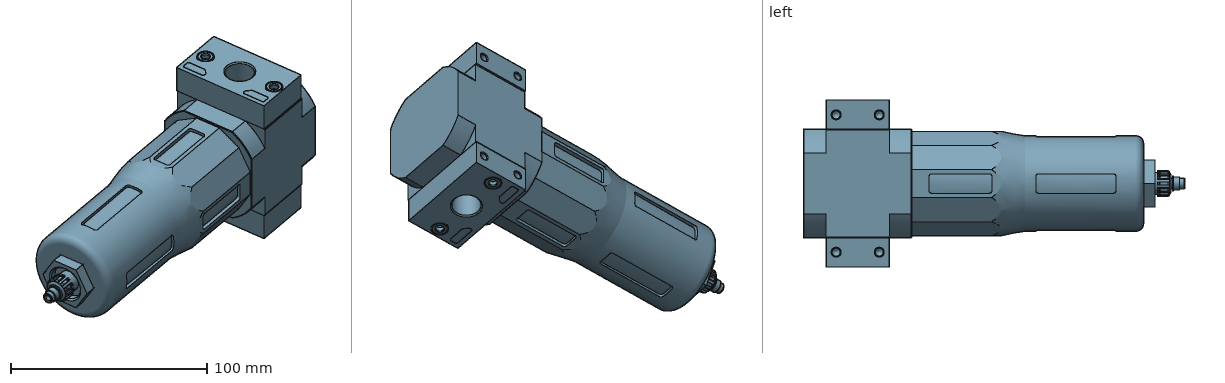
import cadquery as cq
import math


TOTAL_LENGTH = 194.2
TOTAL_HEIGHT = 85.0

HOUSING_WIDTH = 55.0
HOUSING_CORNER_DIAMETER = 63.1
HOUSING_LENGTH = 55.2
HOUSING_HEIGHT = 55.3
HOUSING_EDGE_CHAMFER = 0.4
HOUSING_MIDDLE = HOUSING_LENGTH / 2
PORT_DIAMETER = 15.0
PORT_RIM_DIAMETER = 16.3

PLATE_LENGTH = 32.2
PLATE_SHIFT = -0.5
PLATE_THICKNESS = (TOTAL_HEIGHT - HOUSING_HEIGHT) / 2
SIDE_HOLE_SPACING = 22.0
SIDE_HOLE_DIAMETER = 4.0
SIDE_HOLE_RIM_DIAMETER = 5.0
SIDE_HOLE_DEPTH = 4.9
SIDE_HOLE_HEIGHT = 35.0
LABEL_LENGTH = 13.0
LABEL_WIDTH = 4.7
LABEL_BEVEL = 2.5
LABEL_CORNER_RADIUS = 1.0
LABEL_RECESS = 0.2
LABEL_OFFSET = 18.8
LABEL_SETBACK = 11.3

SCREW_SPACING = 43.1
SCREW_HEAD_DIAMETER = 9.0
SCREW_HEAD_TOP_DIAMETER = 7.5
SCREW_HEAD_HEIGHT = 7.8
SCREW_SHANK_DIAMETER = 5.6
SCREW_LENGTH = 23.3
SOCKET_DIAMETER = 4.0
SOCKET_RIM_DIAMETER = 5.0
SOCKET_DEPTH = 3.0
DRILL_POINT_ANGLE = 118.0

GUARD_SIDES = 12
GUARD_ACROSS_FLATS = 53.2
GUARD_CONE_START = 95.7
GUARD_CONE_END = 112.8
GUARD_END = 173.2
GUARD_END_DIAMETER = 48.7
GUARD_END_FILLET = 4.0
WINDOW_WIDTH = 10.0
WINDOW_CORNER_RADIUS = 1.4
WINDOW_SPANS = [(63.9, 96.0), (118.3, 159.0)]
WINDOW_SIDES = 4

BOWL_TOP_DIAMETER = 50.1
BOWL_CONE_START = 97.1
BOWL_CONE_END = 112.6
BOWL_WAIST_DIAMETER = 46.2
BOWL_END_DIAMETER = 45.0
BOWL_END = 163.1
BOWL_FILLET = 4.9
HEX_ACROSS_FLATS = 24.0
HEX_END = 179.0
DRAIN_RECESS_DIAMETER = 18.0
DRAIN_RECESS_RIM_DIAMETER = 19.8
DRAIN_RECESS_DEPTH = 3.9

KNOB_CORE_DIAMETER = 11.3
KNOB_TOOTH_DIAMETER = 13.2
KNOB_START = 180.2
KNOB_GROOVE_DIAMETER = 12.0
KNOB_GROOVE_START = 181.0
KNOB_GROOVE_END = 181.5
KNOB_TAPER_START = 185.5
KNOB_SHOULDER = 186.5
TOOTH_END_DIAMETER = 12.0
KNOB_END = 187.2
KNOB_END_DIAMETER = 8.5
TOOTH_COUNT = 12
TOOTH_WIDTH = 1.5
STEM_DIAMETER = 6.8
STEM_END_DIAMETER = 5.6
COLLAR_DIAMETER = 7.5
COLLAR_START = 187.8
COLLAR_END = 188.4
STEM_STEP = 191.5
TIP_CHAMFER_START = 193.6
TIP_DIAMETER = 5.0
TIP_BORE_RIM_DIAMETER = 4.0
TIP_BORE_DIAMETER = 3.0
TIP_BORE_DEPTH = 3.9


def at_depth(depth):
    """Workplane facing -Y, at a depth behind which the part lies."""
    return cq.Workplane("XZ", origin=(0, -depth, 0))


def revolved(points):
    """Solid of revolution about the Y axis from (radius, depth) points."""
    outline = [(radius, -depth) for radius, depth in points]
    return cq.Workplane("XY").polyline(outline).close().revolve(360, (0, 0, 0), (0, 1, 0))


def drilled_hole(diameter, rim_diameter, depth):
    """Cutter along -Z from the origin: 45 degree rim, straight wall and conical bottom."""
    radius = diameter / 2
    rim_radius = rim_diameter / 2
    point_depth = radius / math.tan(math.radians(DRILL_POINT_ANGLE / 2))
    outline = [
        (0, 0),
        (rim_radius, 0),
        (radius, radius - rim_radius),
        (radius, -depth),
        (0, -depth - point_depth),
    ]
    return cq.Workplane("XZ").polyline(outline).close().revolve(360, (0, 0, 0), (0, 1, 0))


def make_screw(x, side):
    """Cap screw flush with the outer face of the plate on one side (+1 above, -1 below)."""
    rim = (SCREW_HEAD_DIAMETER - SCREW_HEAD_TOP_DIAMETER) / 2
    head = cq.Workplane("XY").circle(SCREW_HEAD_DIAMETER / 2).extrude(-SCREW_HEAD_HEIGHT)
    head = head.faces(">Z").chamfer(rim)
    shank = cq.Workplane("XY").circle(SCREW_SHANK_DIAMETER / 2).extrude(-SCREW_LENGTH)
    screw = head.union(shank)
    screw = screw.cut(drilled_hole(SOCKET_DIAMETER, SOCKET_RIM_DIAMETER, SOCKET_DEPTH))
    screw = screw.translate((x, -HOUSING_MIDDLE, TOTAL_HEIGHT / 2))
    return screw if side > 0 else screw.mirror("XY")


def screw_hole(x):
    """Stepped cutter for one screw of the upper plate."""
    top = cq.Workplane("XY", origin=(x, -HOUSING_MIDDLE, TOTAL_HEIGHT / 2))
    head_hole = top.circle(SCREW_HEAD_DIAMETER / 2).extrude(-SCREW_HEAD_HEIGHT)
    shank_hole = top.circle(SCREW_SHANK_DIAMETER / 2).extrude(-SCREW_LENGTH)
    return head_hole.union(shank_hole)


def make_housing():
    end_blocks = at_depth(0).rect(HOUSING_WIDTH, HOUSING_HEIGHT).extrude(HOUSING_LENGTH)
    end_blocks = end_blocks.intersect(
        at_depth(0).circle(HOUSING_CORNER_DIAMETER / 2).extrude(HOUSING_LENGTH)
    )
    end_blocks = end_blocks.faces("<Y").chamfer(HOUSING_EDGE_CHAMFER)
    middle_block = cq.Workplane("XY").box(HOUSING_WIDTH, PLATE_LENGTH, HOUSING_HEIGHT)
    middle_block = middle_block.edges("|Y").chamfer(HOUSING_EDGE_CHAMFER)
    housing = end_blocks.union(middle_block.translate((0, -HOUSING_MIDDLE, 0)))

    port = cq.Workplane("XY", origin=(0, -HOUSING_MIDDLE, -TOTAL_HEIGHT / 2))
    housing = housing.cut(port.circle(PORT_DIAMETER / 2).extrude(TOTAL_HEIGHT))
    for x in SCREW_PLACES:
        hole = screw_hole(x)
        housing = housing.cut(hole).cut(hole.mirror("XY"))
    return housing


def label_recess():
    """Cutter for the left label of a plate centred on x = 0, with one bevelled corner."""
    half_length = LABEL_LENGTH / 2
    half_width = LABEL_WIDTH / 2
    outline = [
        (-half_length, -half_width),
        (half_length, -half_width),
        (half_length, half_width - LABEL_BEVEL),
        (half_length - LABEL_BEVEL, half_width),
        (-half_length, half_width),
    ]
    recess = cq.Workplane("XY").polyline(outline).close().extrude(-LABEL_RECESS)
    recess = recess.edges("|Z").fillet(LABEL_CORNER_RADIUS)
    return recess.translate((-LABEL_OFFSET, -HOUSING_MIDDLE - LABEL_SETBACK, TOTAL_HEIGHT / 2))


def make_plate(side):
    """Port plate above (+1) or below (-1) the housing."""
    plate = cq.Workplane("XY").box(HOUSING_WIDTH, PLATE_LENGTH, PLATE_THICKNESS)
    plate_height = (TOTAL_HEIGHT - PLATE_THICKNESS) / 2
    plate = plate.translate((PLATE_SHIFT, -HOUSING_MIDDLE, plate_height))

    port = cq.Workplane("XY", origin=(0, -HOUSING_MIDDLE, 0))
    plate = plate.cut(port.circle(PORT_DIAMETER / 2).extrude(TOTAL_HEIGHT))
    port_edge = cq.selectors.BoxSelector(
        (-PORT_DIAMETER, -HOUSING_MIDDLE - PORT_DIAMETER, TOTAL_HEIGHT / 2 - LABEL_RECESS),
        (PORT_DIAMETER, -HOUSING_MIDDLE + PORT_DIAMETER, TOTAL_HEIGHT / 2 + LABEL_RECESS),
        boundingbox=True,
    )
    plate = plate.edges(port_edge).chamfer((PORT_RIM_DIAMETER - PORT_DIAMETER) / 2)

    for x in SCREW_PLACES:
        plate = plate.cut(screw_hole(x))

    side_hole = drilled_hole(SIDE_HOLE_DIAMETER, SIDE_HOLE_RIM_DIAMETER, SIDE_HOLE_DEPTH)
    side_hole = side_hole.rotate((0, 0, 0), (0, 1, 0), -90)
    side_face_x = PLATE_SHIFT - HOUSING_WIDTH / 2
    for offset in (-SIDE_HOLE_SPACING / 2, SIDE_HOLE_SPACING / 2):
        place = (side_face_x, offset - HOUSING_MIDDLE, SIDE_HOLE_HEIGHT)
        plate = plate.cut(side_hole.translate(place))

    label = label_recess()
    labels = label.union(label.mirror("YZ"))
    plate = plate.cut(labels.translate((PLATE_SHIFT, 0, 0)))
    return plate if side > 0 else plate.mirror("XY")


def make_bowl():
    """Bowl narrowing inside the guard and ending in a hexagon that carries the drain recess."""
    bowl = revolved([
        (0, HOUSING_LENGTH),
        (BOWL_TOP_DIAMETER / 2, HOUSING_LENGTH),
        (BOWL_TOP_DIAMETER / 2, BOWL_CONE_START),
        (BOWL_WAIST_DIAMETER / 2, BOWL_CONE_END),
        (BOWL_END_DIAMETER / 2, BOWL_END),
        (0, BOWL_END),
    ])
    bowl = bowl.faces("<Y").edges().fillet(BOWL_FILLET)
    hexagon = at_depth(BOWL_END - BOWL_FILLET)
    hexagon = hexagon.polygon(6, HEX_ACROSS_FLATS, circumscribed=True)
    hexagon = hexagon.extrude(HEX_END - BOWL_END + BOWL_FILLET)
    bowl = bowl.union(hexagon.rotate((0, 0, 0), (0, 1, 0), 30))

    recess_radius = DRAIN_RECESS_DIAMETER / 2
    rim_radius = DRAIN_RECESS_RIM_DIAMETER / 2
    return bowl.cut(revolved([
        (0, HEX_END),
        (rim_radius, HEX_END),
        (recess_radius, HEX_END - rim_radius + recess_radius),
        (recess_radius, HEX_END - DRAIN_RECESS_DEPTH),
        (0, HEX_END - DRAIN_RECESS_DEPTH),
    ]))


def make_guard(bowl):
    """Twelve-sided guard narrowing to a round end, with windows onto the bowl."""
    corner_radius = GUARD_ACROSS_FLATS / 2 / math.cos(math.pi / GUARD_SIDES)
    prism = at_depth(HOUSING_LENGTH).polygon(GUARD_SIDES, 2 * corner_radius)
    prism = prism.extrude(GUARD_END - HOUSING_LENGTH)
    prism = prism.rotate((0, 0, 0), (0, 1, 0), 180 / GUARD_SIDES)
    envelope = revolved([
        (0, HOUSING_LENGTH),
        (corner_radius, HOUSING_LENGTH),
        (corner_radius, GUARD_CONE_START),
        (GUARD_END_DIAMETER / 2, GUARD_CONE_END),
        (GUARD_END_DIAMETER / 2, GUARD_END),
        (0, GUARD_END),
    ])
    envelope = envelope.faces("<Y").edges().fillet(GUARD_END_FILLET)
    guard = prism.intersect(envelope).cut(bowl)

    for start, end in WINDOW_SPANS:
        window = cq.Workplane("XY", origin=(0, -(start + end) / 2, 0))
        window = window.rect(WINDOW_WIDTH, end - start).extrude(GUARD_ACROSS_FLATS)
        window = window.edges("|Z").fillet(WINDOW_CORNER_RADIUS)
        for index in range(WINDOW_SIDES):
            guard = guard.cut(window.rotate((0, 0, 0), (0, 1, 0), index * 360 / WINDOW_SIDES))
    return guard


def make_knob_teeth():
    """Ring of grip teeth around the knob core, with a groove near its start."""
    tooth_radius = KNOB_TOOTH_DIAMETER / 2
    ring = revolved([
        (0, KNOB_START),
        (tooth_radius, KNOB_START),
        (tooth_radius, KNOB_GROOVE_START),
        (KNOB_GROOVE_DIAMETER / 2, KNOB_GROOVE_START),
        (KNOB_GROOVE_DIAMETER / 2, KNOB_GROOVE_END),
        (tooth_radius, KNOB_GROOVE_END),
        (tooth_radius, KNOB_TAPER_START),
        (TOOTH_END_DIAMETER / 2, KNOB_SHOULDER),
        (0, KNOB_SHOULDER),
    ])
    bars = at_depth(KNOB_START).rect(TOOTH_WIDTH, KNOB_TOOTH_DIAMETER)
    bars = bars.extrude(KNOB_SHOULDER - KNOB_START)
    teeth = bars
    for index in range(1, TOOTH_COUNT // 2):
        teeth = teeth.union(bars.rotate((0, 0, 0), (0, 1, 0), index * 360 / TOOTH_COUNT))
    return teeth.intersect(ring)


def make_drain():
    """Drain valve: toothed knob with a stepped, bored hose stem."""
    core = revolved([
        (0, HEX_END - DRAIN_RECESS_DEPTH),
        (KNOB_CORE_DIAMETER / 2, HEX_END - DRAIN_RECESS_DEPTH),
        (KNOB_CORE_DIAMETER / 2, KNOB_SHOULDER),
        (KNOB_END_DIAMETER / 2, KNOB_END),
        (STEM_END_DIAMETER / 2, KNOB_END),
        (STEM_END_DIAMETER / 2, COLLAR_START),
        (COLLAR_DIAMETER / 2, COLLAR_START),
        (COLLAR_DIAMETER / 2, COLLAR_END),
        (STEM_DIAMETER / 2, COLLAR_END),
        (STEM_DIAMETER / 2, STEM_STEP),
        (STEM_END_DIAMETER / 2, STEM_STEP),
        (STEM_END_DIAMETER / 2, TIP_CHAMFER_START),
        (TIP_DIAMETER / 2, TOTAL_LENGTH),
        (0, TOTAL_LENGTH),
    ])
    bore = drilled_hole(TIP_BORE_DIAMETER, TIP_BORE_RIM_DIAMETER, TIP_BORE_DEPTH)
    bore = bore.rotate((0, 0, 0), (1, 0, 0), 90).translate((0, -TOTAL_LENGTH, 0))
    return core.union(make_knob_teeth()).cut(bore)


SCREW_PLACES = (-SCREW_SPACING / 2, SCREW_SPACING / 2)
SIDES = (1, -1)

housing = make_housing()
plates = [make_plate(side) for side in SIDES]
screws = [make_screw(x, side) for side in SIDES for x in SCREW_PLACES]
bowl = make_bowl()
guard = make_guard(bowl)
drain = make_drain()

result = cq.Compound.makeCompound([
    housing.solids().val(),
    *[plate.solids().val() for plate in plates],
    *[screw.solids().val() for screw in screws],
    bowl.solids().val(),
    guard.solids().val(),
    drain.solids().val(),
])